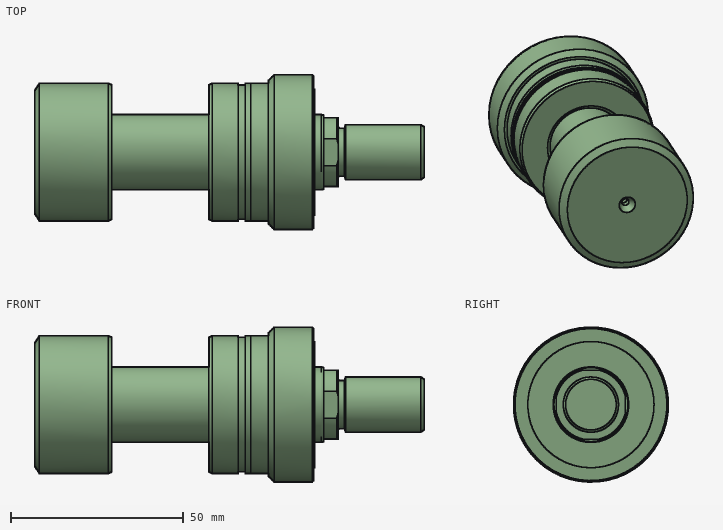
import cadquery as cq
import math


total_length = 113.0
body_radius = 20.0
head_length = 22.4
head_front_chamfer_length = 1.4
head_front_chamfer_depth = 2.1
rod_radius = 11.0
shank_end = 83.8
shank_chamfer_length = 0.7
wrench_radius = 10.7
wrench_end = 88.0
wrench_chamfer = 0.5
wrench_across_flats = 20.0
flat_count = 4
stud_radius = 8.0
stud_start = 90.2
stud_chamfer_length = 1.0
stud_chamfer_depth = 0.7
neck_radius = 7.0
neck_fillet = 0.5
neck_taper_length = 0.3

centre_mouth_radius = 2.4
centre_pilot_radius = 1.0
centre_pilot_length = 2.3
centre_cone_half_angle = 30.0
drill_point_half_angle = 60.0

lead_length = 1.0
lead_depth = 0.5
gland_start = 50.5
flange_start = 67.8
flange_end = 80.9
flange_radius = 22.5
flange_front_chamfer = 1.7
flange_rear_chamfer = 0.5
boss_radius = 18.3
boss_height = 0.3
mouth_radius = 12.0
mouth_depth = 1.0

groove_start = 59.0
groove_end = 62.7
groove_depth = 2.5
seal_step = 61.0
seal_recess = 0.5


def revolve_about_x(points):
    """Revolve a closed (X, radius) outline about the X axis."""
    return cq.Workplane("XY").polyline(points).close().revolve(360, (0, 0, 0), (1, 0, 0))


def make_centre_hole():
    cone_length = (centre_mouth_radius - centre_pilot_radius) / math.tan(math.radians(centre_cone_half_angle))
    pilot_end = cone_length + centre_pilot_length
    point_end = pilot_end + centre_pilot_radius / math.tan(math.radians(drill_point_half_angle))
    return revolve_about_x([
        (0, 0),
        (0, centre_mouth_radius),
        (cone_length, centre_pilot_radius),
        (pilot_end, centre_pilot_radius),
        (point_end, 0),
    ])


def make_wrench_section():
    """Chamfered round section with equally spaced flats, two of them facing Y."""
    length = wrench_end - shank_end
    section = cq.Workplane("YZ", origin=(shank_end, 0, 0)).circle(wrench_radius).extrude(length)
    section = section.faces(">X").chamfer(wrench_chamfer)
    flats = cq.Workplane("YZ", origin=(shank_end, 0, 0)).polygon(
        flat_count, wrench_across_flats / math.cos(math.pi / flat_count)
    ).extrude(length).rotate((0, 0, 0), (1, 0, 0), 180 / flat_count)
    return section.intersect(flats)


def make_stud():
    """Undercut neck, filleted against the wrench section, and the chamfered stud."""
    arc_offset = neck_fillet * (1 - math.sqrt(0.5))
    return (
        cq.Workplane("XY")
        .moveTo(wrench_end, 0)
        .lineTo(wrench_end, neck_radius + neck_fillet)
        .threePointArc(
            (wrench_end + arc_offset, neck_radius + arc_offset),
            (wrench_end + neck_fillet, neck_radius),
        )
        .lineTo(stud_start - neck_taper_length, neck_radius)
        .lineTo(stud_start, stud_radius)
        .lineTo(total_length - stud_chamfer_length, stud_radius)
        .lineTo(total_length, stud_radius - stud_chamfer_depth)
        .lineTo(total_length, 0)
        .close()
        .revolve(360, (0, 0, 0), (1, 0, 0))
    )


def make_rod():
    head_and_shank = revolve_about_x([
        (0, 0),
        (0, body_radius - head_front_chamfer_depth),
        (head_front_chamfer_length, body_radius),
        (head_length - lead_length, body_radius),
        (head_length, body_radius - lead_depth),
        (head_length, rod_radius),
        (shank_end - shank_chamfer_length, rod_radius),
        (shank_end, wrench_radius),
        (shank_end, 0),
    ])
    return head_and_shank.union(make_wrench_section()).union(make_stud()).cut(make_centre_hole())


def make_gland():
    groove_radius = body_radius - groove_depth
    boss_end = flange_end + boss_height
    return revolve_about_x([
        (gland_start, mouth_radius),
        (gland_start, body_radius - lead_depth),
        (gland_start + lead_length, body_radius),
        (groove_start, body_radius),
        (groove_start, groove_radius),
        (groove_end, groove_radius),
        (groove_end, body_radius),
        (flange_start, body_radius),
        (flange_start, flange_radius - flange_front_chamfer),
        (flange_start + flange_front_chamfer, flange_radius),
        (flange_end - flange_rear_chamfer, flange_radius),
        (flange_end, flange_radius - flange_rear_chamfer),
        (flange_end, boss_radius),
        (boss_end, boss_radius),
        (boss_end, rod_radius),
        (gland_start + mouth_depth, rod_radius),
    ])


def make_seal():
    """Ring filling the groove: its front part sits just below the nose, its rear part is flush."""
    groove_radius = body_radius - groove_depth
    return revolve_about_x([
        (groove_start, groove_radius),
        (groove_start, body_radius - seal_recess),
        (seal_step, body_radius - seal_recess),
        (seal_step, body_radius),
        (groove_end, body_radius),
        (groove_end, groove_radius),
    ])


rod = make_rod()
gland = make_gland()
seal = make_seal()

result = cq.Compound.makeCompound([rod.val(), gland.val(), seal.val()])